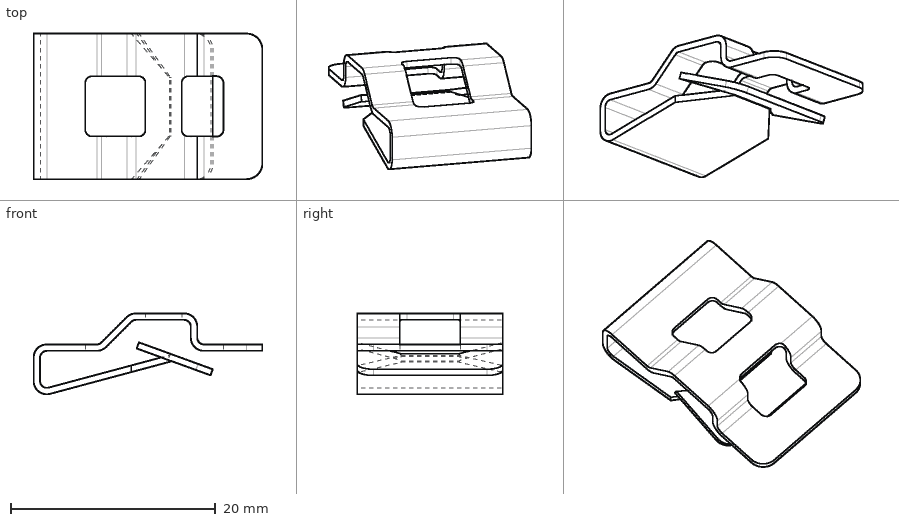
import cadquery as cq
import math

length = 22.35
width = 14.24
height = 7.91
thickness = 0.65
half_sheet = thickness / 2
bend_radius = 1.5 * thickness
corner_radius = 1.56

plate_z = 4.55
crown_z = height - half_sheet
ramp_foot_x = 6.57
ramp_top_x = ramp_foot_x + crown_z - plate_z
step_x = 15.67

arm_angle = math.radians(15)
arm_taper_x = 9.52
neck_x = 13.23
neck_width = 5.7

lip_angle = 20.0
lip_start_x = 10.17
lip_start_z = 4.78
lip_length = 7.69

window_width = 5.88
window_radius = 0.67
ramp_window = (5.05, 10.93)
step_window = (14.45, 18.53)


def sheet_outline(path):
    """Offset an open path by half a sheet to both sides; return corners with their bend radii."""
    headings = [math.atan2(b[1] - a[1], b[0] - a[0]) for a, b in zip(path, path[1:])]
    left = []
    right = []
    for i, (x, z) in enumerate(path):
        before = headings[max(i - 1, 0)]
        after = headings[min(i, len(headings) - 1)]
        turn = math.remainder(after - before, 2 * math.pi)
        middle = before + turn / 2
        miter = half_sheet / math.cos(turn / 2)
        dx = -math.sin(middle) * miter
        dz = math.cos(middle) * miter
        is_end = i in (0, len(path) - 1)
        shift = math.copysign(half_sheet, turn)
        left.append((x + dx, z + dz, 0 if is_end else bend_radius - shift))
        right.append((x - dx, z - dz, 0 if is_end else bend_radius + shift))
    return left + right[::-1]


def bent_sheet(path):
    """Sheet of full width following a path in the XZ plane, with rounded bends."""
    corners = sheet_outline(path)
    sketch = cq.Workplane("XZ").moveTo(*corners[0][:2])
    for i in range(1, len(corners)):
        x, z, radius = corners[i]
        if radius == 0:
            sketch = sketch.lineTo(x, z)
            continue
        corner = cq.Vector(x, z)
        to_last = (cq.Vector(*corners[i - 1][:2]) - corner).normalized()
        to_next = (cq.Vector(*corners[i + 1][:2]) - corner).normalized()
        half_angle = to_last.getAngle(to_next) / 2
        setback = radius / math.tan(half_angle)
        start = corner + to_last * setback
        end = corner + to_next * setback
        apex = corner + (to_last + to_next).normalized() * (radius / math.sin(half_angle) - radius)
        sketch = sketch.lineTo(start.x, start.y)
        sketch = sketch.threePointArc((apex.x, apex.y), (end.x, end.y))
    return sketch.close().extrude(width / 2, both=True)


def window(x_range, bottom, top):
    """Rounded rectangular cutter standing between two heights."""
    x_min, x_max = x_range
    return (
        cq.Workplane("XY", origin=((x_min + x_max) / 2, 0, bottom))
        .rect(x_max - x_min, window_width)
        .extrude(top - bottom)
        .edges("|Z")
        .fillet(window_radius)
    )


def make_upper_strip():
    path = [
        (length, plate_z),
        (step_x, plate_z),
        (step_x, crown_z),
        (ramp_top_x, crown_z),
        (ramp_foot_x, plate_z),
        (half_sheet, plate_z),
        (half_sheet, wall_foot_z),
        (arm_end_x, arm_end_z),
    ]
    return bent_sheet(path)


def side_notch(side):
    """Wedge between arm and lip wing on one side, in plan."""
    edge = side * width / 2
    return [(arm_taper_x, edge), (neck_x, side * neck_width / 2), (length, side * neck_width / 2), (length, edge)]


def make_lip():
    """Flat lip whose near edge is cut back from two prongs to the neck."""
    slope = math.cos(math.radians(lip_angle))
    neck_depth = (neck_x - lip_start_x) / slope
    edge = width / 2
    neck_edge = neck_width / 2
    plan = [
        (0, -edge),
        (lip_length, -edge),
        (lip_length, edge),
        (0, edge),
        (neck_depth, neck_edge),
        (neck_depth, -neck_edge),
    ]
    lip = cq.Workplane("XY").polyline(plan).close().extrude(half_sheet, both=True)
    lip = lip.edges("|Z and >X").fillet(corner_radius)
    lip = lip.rotate((0, 0, 0), (0, 1, 0), lip_angle)
    return lip.translate((lip_start_x, 0, lip_start_z))


bend_centre = bend_radius + half_sheet
wall_foot_z = bend_centre - bend_radius * (1 / math.cos(arm_angle) + math.tan(arm_angle))
arm_end_x = neck_x + half_sheet * math.sin(arm_angle)
arm_end_z = wall_foot_z + (arm_end_x - half_sheet) * math.tan(arm_angle)

clip = make_upper_strip()
clip = clip.edges("|Z and >X").fillet(corner_radius)

window_bottom = plate_z - thickness
clip = clip.cut(window(ramp_window, window_bottom, height))
clip = clip.cut(window(step_window, window_bottom, height))

for side in (-1, 1):
    notch = cq.Workplane("XY").polyline(side_notch(side)).close().extrude(window_bottom)
    clip = clip.cut(notch)

result = clip.union(make_lip())